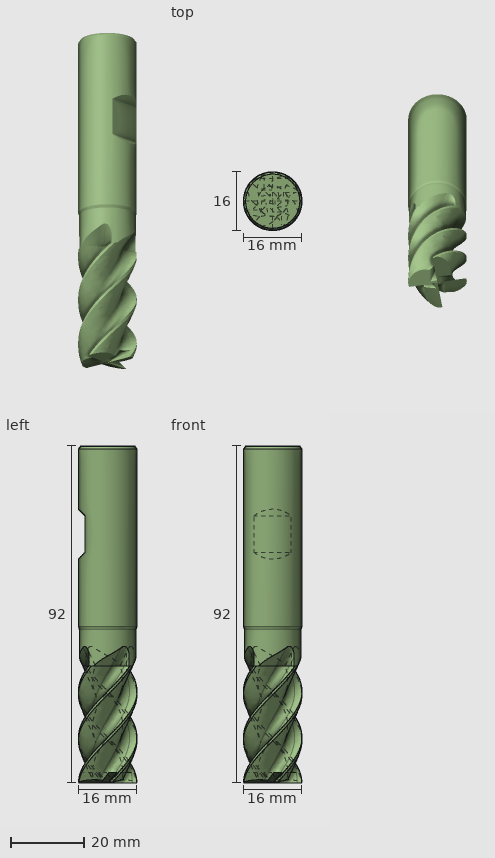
import cadquery as cq
import math


diameter = 16.0
overall_length = 92.0
cut_length = 32.0
tooth_count = 4
helix_angle = 45.0

neck_diameter = 15.5
neck_top = 42.0
neck_cone_height = 0.8
end_chamfer_height = 0.8
end_chamfer_width = 0.6

flat_depth = 1.8
flat_length = 10.0
flat_from_end = 24.0

margin_angle = 7.0
heel_radius = 4.55
heel_angle = 54.0
relief_start_angle = 20.0
rake_foot_radius = 6.0

runout_height = 5.0
runout_rise = 3.56
runout_overshoot = 2.0

corner_chamfer = 0.3
end_relief_angle = 13.0
gash_lean = 40.0
gash_depth = 2.9
gash_root_width = 2.1
gash_front_slope = 38.0
gash_start = 0.5
gash_ramp = 2.5

radius = diameter / 2
neck_radius = neck_diameter / 2
pitch_angle = 360.0 / tooth_count
lead = math.pi * diameter / math.tan(math.radians(helix_angle))
twist = 360.0 * cut_length / lead
clear_radius = 2 * diameter
axis_start = (0, 0, 0)
axis_end = (0, 0, 1)
profile_axis_end = (0, 1, 0)


def polar(r, angle):
    """Point at radius r and angle in degrees."""
    return (r * math.cos(math.radians(angle)), r * math.sin(math.radians(angle)))


def arc_middle(start, end, direction):
    """Middle point of the arc from start to end that leaves start along direction (degrees)."""
    dx = end[0] - start[0]
    dy = end[1] - start[1]
    half_turn = math.atan2(dy, dx) - math.radians(direction)
    bulge = math.tan(half_turn / 2) / 2
    return ((start[0] + end[0]) / 2 + dy * bulge, (start[1] + end[1]) / 2 - dx * bulge)


def add_flute(wire, edge_angle):
    """Draw one flute: from the end of the land, over the relief and floor, up the next rake face."""
    next_edge = edge_angle + pitch_angle
    land_end = polar(radius, edge_angle + margin_angle)
    heel = polar(heel_radius, edge_angle + heel_angle)
    rake_foot = polar(rake_foot_radius, next_edge)
    relief_direction = edge_angle + margin_angle + 90 + relief_start_angle
    relief_middle = arc_middle(land_end, heel, relief_direction)
    floor_middle = arc_middle(rake_foot, heel, next_edge - 180)
    wire = wire.threePointArc(relief_middle, heel)
    wire = wire.threePointArc(floor_middle, rake_foot)
    return wire.lineTo(*polar(radius, next_edge))


def copies(body):
    """The body repeated once per tooth around the axis."""
    return [body.rotate(axis_start, axis_end, i * pitch_angle) for i in range(tooth_count)]


def make_shank():
    end_radius = radius - end_chamfer_width
    profile = [
        (0, cut_length),
        (neck_radius, cut_length),
        (neck_radius, neck_top),
        (radius, neck_top + neck_cone_height),
        (radius, overall_length - end_chamfer_height),
        (end_radius, overall_length),
        (0, overall_length),
    ]
    shank = cq.Workplane("XZ").polyline(profile).close().revolve(360, axis_start, profile_axis_end)
    shank = shank.cut(make_clamping_flat())
    for flute in copies(make_runout()):
        shank = shank.cut(flute)
    return shank


def make_clamping_flat():
    """Trapezoidal notch with 45 degree ends."""
    centre = overall_length - flat_from_end
    half = flat_length / 2
    floor = radius - flat_depth
    outside = radius + flat_depth
    spread = outside - floor
    profile = [
        (floor, centre - half),
        (floor, centre + half),
        (outside, centre + half + spread),
        (outside, centre - half - spread),
    ]
    return cq.Workplane("YZ").polyline(profile).close().extrude(radius, both=True)


def make_runout():
    """Flute section pushed straight up and outwards along the rake face."""
    edge_angle = twist
    next_edge = edge_angle + pitch_angle
    wire = cq.Workplane("XY").moveTo(*polar(radius, edge_angle + margin_angle))
    wire = add_flute(wire, edge_angle)
    wire = wire.lineTo(*polar(clear_radius, next_edge))
    wire = wire.lineTo(*polar(clear_radius, edge_angle + margin_angle)).close()
    rise = polar(runout_rise, next_edge)
    path = cq.Vector(rise[0], rise[1], runout_height) * runout_overshoot
    solid = cq.Solid.extrudeLinear(wire.val(), [], path)
    return cq.Workplane(solid.translate(cq.Vector(0, 0, cut_length)))


def make_cutter():
    wire = cq.Workplane("XY").moveTo(radius, 0)
    for i in range(tooth_count):
        edge_angle = i * pitch_angle
        land_middle = polar(radius, edge_angle + margin_angle / 2)
        land_end = polar(radius, edge_angle + margin_angle)
        wire = wire.threePointArc(land_middle, land_end)
        wire = add_flute(wire, edge_angle)
    cutter = wire.close().twistExtrude(cut_length, twist)
    cutter = cutter.intersect(make_corner_envelope())
    for tool in copies(make_end_relief()) + copies(make_gash()):
        cutter = cutter.cut(tool)
    return cutter


def make_corner_envelope():
    """Cone frustum opening upwards at 45 degrees that chamfers the tip corner."""
    tip_radius = radius - corner_chamfer
    profile = [
        (0, 0),
        (tip_radius, 0),
        (tip_radius + cut_length, cut_length),
        (0, cut_length),
    ]
    return cq.Workplane("XZ").polyline(profile).close().revolve(360, axis_start, profile_axis_end)


def make_end_relief():
    """Wedge below the end face, rising behind the end cutting edge along +X."""
    rise = radius * math.tan(math.radians(end_relief_angle))
    profile = [(0, 0), (radius, rise), (radius, 0)]
    return cq.Workplane("YZ").polyline(profile).close().extrude(radius)


def make_gash():
    """Trapezoidal groove in front of the end cutting edge along +X, ramped near the axis."""
    root_back = gash_depth * math.tan(math.radians(gash_lean))
    root_front = root_back - gash_root_width
    front = root_front - gash_depth * math.tan(math.radians(gash_front_slope))
    profile = [(0, 0), (root_back, gash_depth), (root_front, gash_depth), (front, 0)]
    groove = cq.Workplane("YZ").polyline(profile).close().extrude(radius)
    side = [
        (gash_start, 0),
        (gash_start + gash_ramp, gash_depth),
        (radius, gash_depth),
        (radius, 0),
    ]
    ramp = cq.Workplane("XZ").polyline(side).close().extrude(radius, both=True)
    return groove.intersect(ramp)


shank = make_shank()
cutter = make_cutter()
result = cq.Compound.makeCompound([shank.val(), cutter.val()])